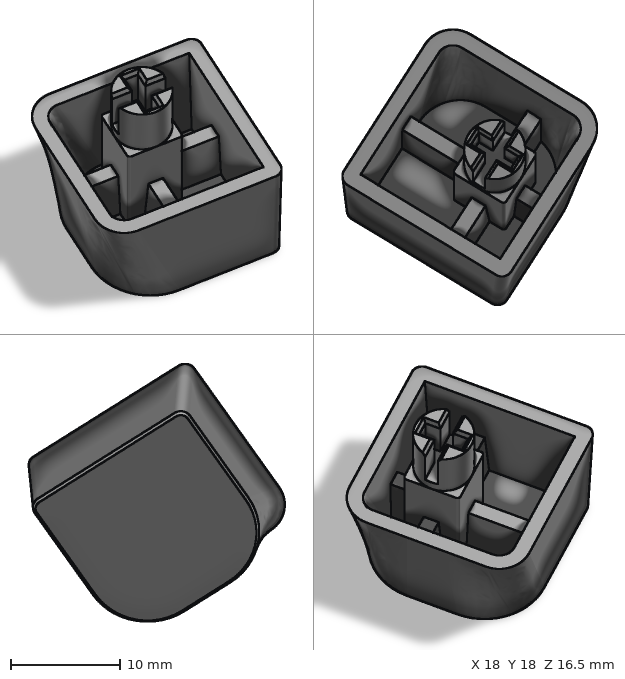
import cadquery as cq
import math

rim_half = 9.0
rim_height = 12.0
wall = 1.5
back_radius = 1.0
rim_front_radius = 3.0
rim_flat_half = 1.89
crown_half_width = 8.53
crown_front = -7.56
crown_front_radius = 6.0
crown_chamfer_height = 0.36
crown_chamfer_inset = 0.25

floor_z = 1.5
cavity_rim_half = rim_half - wall
cavity_front_radius = rim_front_radius - wall
cavity_floor_half_width = 7.0
cavity_floor_front = -6.2
cavity_floor_radius = crown_front_radius - wall

rib_top_z = 6.5
rib_top_width = 1.5
rib_base_width = 2.35

stem_x = -2.25
stem_width = 5.6
block_corner_radius = 0.3
block_top_z = 11.45
post_top_z = 16.5
slot_depth = 4.03
open_slot_width = 1.26
closed_slot_width = 1.35
closed_slot_length = 4.28
slot_chamfer_inset = 0.3
slot_chamfer_depth = 0.4

corner_foot_angle = math.radians(40.0)


def closed_wire(half_width, back, back_corner, front_edges, z):
    """Close an outline around the back; front_edges run from the left side to the right side."""
    path = cq.Workplane("XY", origin=(0, 0, z)).moveTo(-half_width, back - back_corner)
    path = front_edges(path)
    path = path.lineTo(half_width, back - back_corner)
    if back_corner > 0:
        path = path.radiusArc((half_width - back_corner, back), -back_corner)
    path = path.lineTo(-half_width + back_corner, back)
    if back_corner > 0:
        path = path.radiusArc((-half_width, back - back_corner), -back_corner)
    return path.close().wire().val()


def rim_outline(half, back_corner, radius, z):
    """Rim outline, its front line divided where the flat strip of the front wall begins and ends."""
    def front_edges(path):
        return (
            path.lineTo(-half, -half + radius)
            .radiusArc((-half + radius, -half), -radius)
            .lineTo(-rim_flat_half, -half)
            .lineTo(rim_flat_half, -half)
            .lineTo(half - radius, -half)
            .radiusArc((half, -half + radius), -radius)
        )
    return closed_wire(half, half, back_corner, front_edges, z)


def crown_outline(half_width, back, front, back_corner, radius, z):
    """Crown outline, each large front corner divided at the end of the rim corner surface."""
    center_x = half_width - radius
    center_y = front + radius
    foot_x = center_x + radius * math.cos(corner_foot_angle)
    foot_y = center_y - radius * math.sin(corner_foot_angle)

    def front_edges(path):
        return (
            path.lineTo(-half_width, center_y)
            .radiusArc((-foot_x, foot_y), -radius)
            .radiusArc((-center_x, front), -radius)
            .lineTo(center_x, front)
            .radiusArc((foot_x, foot_y), -radius)
            .radiusArc((half_width, center_y), -radius)
        )
    return closed_wire(half_width, back, back_corner, front_edges, z)


def ruled_solid(lower, upper):
    return cq.Workplane(cq.Solid.makeLoft([lower, upper], True))


def make_outer():
    crown_edge = crown_outline(
        crown_half_width, rim_half, crown_front, back_radius, crown_front_radius, crown_chamfer_height
    )
    crown_face = crown_outline(
        crown_half_width - crown_chamfer_inset,
        rim_half - crown_chamfer_inset,
        crown_front + crown_chamfer_inset,
        back_radius - crown_chamfer_inset,
        crown_front_radius - crown_chamfer_inset,
        0,
    )
    rim = rim_outline(rim_half, back_radius, rim_front_radius, rim_height)
    return ruled_solid(crown_edge, rim).union(ruled_solid(crown_face, crown_edge))


def make_cavity():
    floor = crown_outline(
        cavity_floor_half_width, cavity_rim_half, cavity_floor_front, 0, cavity_floor_radius, floor_z
    )
    rim = rim_outline(cavity_rim_half, 0, cavity_front_radius, rim_height)
    return ruled_solid(floor, rim)


def make_rib(plane, center):
    """Tapered bar along the normal of the plane, long enough to pass through both walls."""
    return (
        cq.Workplane(plane)
        .moveTo(center - rib_base_width / 2, floor_z)
        .lineTo(center + rib_base_width / 2, floor_z)
        .lineTo(center + rib_top_width / 2, rib_top_z)
        .lineTo(center - rib_top_width / 2, rib_top_z)
        .close()
        .extrude(rim_half, both=True)
    )


def make_block():
    return (
        cq.Workplane("XY", origin=(stem_x, 0, floor_z))
        .rect(stem_width, stem_width)
        .extrude(block_top_z - floor_z)
        .edges("|Z")
        .fillet(block_corner_radius)
    )


def make_keycap():
    cavity = make_cavity()
    ribs = make_rib("XZ", stem_x).union(make_rib("YZ", 0))
    return make_outer().cut(cavity.cut(ribs)).cut(make_block())


def make_slot(length, width):
    """Straight slot with a bevelled mouth at the top of the post."""
    slot = (
        cq.Workplane("XY", origin=(stem_x, 0, post_top_z))
        .rect(length, width)
        .extrude(-slot_depth)
    )
    mouth = (
        cq.Workplane("XY", origin=(stem_x, 0, post_top_z - slot_chamfer_depth))
        .rect(length, width)
        .workplane(offset=slot_chamfer_depth)
        .rect(length + 2 * slot_chamfer_inset, width + 2 * slot_chamfer_inset)
        .loft()
    )
    return slot.union(mouth)


def make_stem():
    post = (
        cq.Workplane("XY", origin=(stem_x, 0, block_top_z))
        .circle(stem_width / 2)
        .extrude(post_top_z - block_top_z)
    )
    open_slot = make_slot(open_slot_width, 2 * stem_width)
    closed_slot = make_slot(closed_slot_length, closed_slot_width)
    return make_block().union(post.cut(open_slot).cut(closed_slot))


keycap = make_keycap()
stem = make_stem()
result = cq.Compound.makeCompound([keycap.val(), stem.val()])